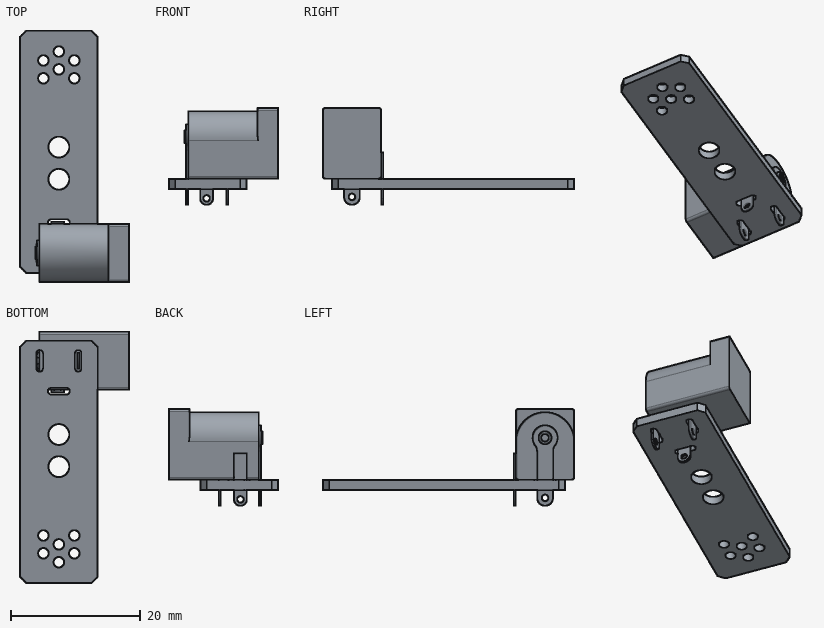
import cadquery as cq
import math

OVERALL_LENGTH = 38.85

BOARD_WIDTH = 12.0
BOARD_LENGTH = 37.45
BOARD_THICKNESS = 1.6
BOARD_CORNER_CHAMFER = 0.97

LARGE_HOLE_COUNT = 2
LARGE_HOLE_DIAMETER = 3.2
LARGE_HOLE_FIRST_Y = 14.5
LARGE_HOLE_SPACING = 4.97

SMALL_HOLE_DIAMETER = 1.6
SMALL_HOLE_PITCH = 2.75
SMALL_HOLE_CENTRE_Y = 31.45
SMALL_HOLE_ANGLES = [-30, 30, 90, 150, 210]

HOUSING_BACK_X = -3.03
HOUSING_LENGTH = 13.85
HOUSING_WIDTH = 9.0
HOUSING_HEIGHT = 10.95
FLANGE_LENGTH = 3.2
CORNER_RADIUS = 0.4
EDGE_RADIUS = 0.097

HOUSING_FRONT_X = HOUSING_BACK_X + HOUSING_LENGTH
HOUSING_NEAR_Y = BOARD_LENGTH - OVERALL_LENGTH
HOUSING_FAR_Y = HOUSING_NEAR_Y + HOUSING_WIDTH
HOUSING_CENTRE_Y = (HOUSING_NEAR_Y + HOUSING_FAR_Y) / 2
BARREL_RADIUS = HOUSING_WIDTH / 2
BARREL_AXIS_HEIGHT = 5.95

PIN_THICKNESS = 0.35
PIN_EDGE_RADIUS = 0.08
PIN_REACH = 2.45
PIN_HOLE_DIAMETER = 0.97
WIDE_PIN_WIDTH = 2.5
SIDE_PIN_WIDTH = 2.02
SIDE_PIN_X = -0.2
SIDE_PIN_HEIGHT = 4.08
INNER_PIN_X = 3.0
PIN_TIP_Z = -PIN_REACH
BACK_PIN_X = HOUSING_BACK_X - PIN_THICKNESS / 2
SIDE_PIN_Y = HOUSING_FAR_Y + PIN_THICKNESS / 2

HEAD_RADIUS = 1.95
HEAD_HEIGHT = 6.5
HEAD_BLEND_RADIUS = 1.35
RIVET_RADIUS = 1.0
RIVET_HEIGHT = 0.27
RIVET_EDGE_RADIUS = 0.2
RIVET_RECESS_RADIUS = 0.6

SLOT_LENGTH = 3.35
SLOT_WIDTH = 1.0
BACK_SLOT_X = -2.95
SIDE_SLOT_X = 0.0


def make_slot(x, y, angle):
    """Cutter for one pin slot, its length turned by angle from the X axis."""
    return (
        cq.Workplane("XY")
        .center(x, y)
        .slot2D(SLOT_LENGTH, SLOT_WIDTH, angle)
        .extrude(BOARD_THICKNESS)
    )


def make_board():
    board = (
        cq.Workplane("XY")
        .box(BOARD_WIDTH, BOARD_LENGTH, BOARD_THICKNESS, centered=(True, False, False))
        .edges("|Z")
        .chamfer(BOARD_CORNER_CHAMFER)
    )
    large_holes = [(0, LARGE_HOLE_FIRST_Y + i * LARGE_HOLE_SPACING) for i in range(LARGE_HOLE_COUNT)]
    small_holes = [(0, SMALL_HOLE_CENTRE_Y)]
    for angle in SMALL_HOLE_ANGLES:
        x = SMALL_HOLE_PITCH * math.cos(math.radians(angle))
        y = SMALL_HOLE_CENTRE_Y + SMALL_HOLE_PITCH * math.sin(math.radians(angle))
        small_holes.append((x, y))
    for diameter, places in [(LARGE_HOLE_DIAMETER, large_holes), (SMALL_HOLE_DIAMETER, small_holes)]:
        cutter = cq.Workplane("XY").pushPoints(places).circle(diameter / 2).extrude(BOARD_THICKNESS)
        board = board.cut(cutter)
    slots = [
        (BACK_SLOT_X, HOUSING_CENTRE_Y, 90),
        (SIDE_SLOT_X, SIDE_PIN_Y, 0),
        (INNER_PIN_X, HOUSING_CENTRE_Y, 90),
    ]
    for x, y, angle in slots:
        board = board.cut(make_slot(x, y, angle))
    return board


def make_barrel():
    """Flat-sided base with a half-round top, reaching forward into the flange."""
    barrel = (
        cq.Workplane("YZ", origin=(HOUSING_BACK_X, HOUSING_CENTRE_Y, BOARD_THICKNESS))
        .moveTo(-BARREL_RADIUS, 0)
        .lineTo(BARREL_RADIUS, 0)
        .lineTo(BARREL_RADIUS, BARREL_AXIS_HEIGHT)
        .threePointArc((0, BARREL_AXIS_HEIGHT + BARREL_RADIUS), (-BARREL_RADIUS, BARREL_AXIS_HEIGHT))
        .close()
        .extrude(HOUSING_LENGTH - FLANGE_LENGTH / 2)
    )
    barrel = barrel.edges("|X and <Z").fillet(CORNER_RADIUS)
    return barrel.faces("<X").edges().fillet(EDGE_RADIUS)


def make_flange():
    """Square mouth of the jack, taller than the barrel."""
    flange = (
        cq.Workplane("XY")
        .box(FLANGE_LENGTH, HOUSING_WIDTH, HOUSING_HEIGHT, centered=(False, True, False))
        .translate((HOUSING_FRONT_X - FLANGE_LENGTH, HOUSING_CENTRE_Y, BOARD_THICKNESS))
    )
    flange = flange.edges("|X").fillet(CORNER_RADIUS)
    return flange.faces("<X").edges().fillet(EDGE_RADIUS)


def make_pin(width, top_z):
    """Flat pin standing in the XZ plane at Y = 0, with a rounded, drilled tip."""
    eye_z = PIN_TIP_Z + width / 2
    pin = (
        cq.Workplane("XZ", origin=(0, PIN_THICKNESS / 2, 0))
        .moveTo(-width / 2, top_z)
        .lineTo(-width / 2, eye_z)
        .threePointArc((0, PIN_TIP_Z), (width / 2, eye_z))
        .lineTo(width / 2, top_z)
        .close()
        .extrude(PIN_THICKNESS)
    )
    eye = (
        cq.Workplane("XZ", origin=(0, PIN_THICKNESS / 2, 0))
        .center(0, eye_z)
        .circle(PIN_HOLE_DIAMETER / 2)
        .extrude(PIN_THICKNESS)
    )
    return pin.cut(eye)


def make_back_pin():
    """Pin lying on the housing's back, with a round head at its top."""
    head_z = BOARD_THICKNESS + HEAD_HEIGHT
    pin = make_pin(WIDE_PIN_WIDTH, head_z)
    head = (
        cq.Workplane("XZ", origin=(0, PIN_THICKNESS / 2, 0))
        .center(0, head_z)
        .circle(HEAD_RADIUS)
        .extrude(PIN_THICKNESS)
    )
    neck_z = head_z - math.sqrt(HEAD_RADIUS**2 - (WIDE_PIN_WIDTH / 2) ** 2)
    neck_edges = cq.selectors.BoxSelector(
        (-HEAD_RADIUS, -PIN_THICKNESS, neck_z - PIN_EDGE_RADIUS),
        (HEAD_RADIUS, PIN_THICKNESS, neck_z + PIN_EDGE_RADIUS),
    )
    pin = pin.union(head).edges("|Y").edges(neck_edges).fillet(HEAD_BLEND_RADIUS)
    pin = pin.faces(">Y").edges().fillet(PIN_EDGE_RADIUS)
    return pin.rotate((0, 0, 0), (0, 0, 1), 90).translate((BACK_PIN_X, HOUSING_CENTRE_Y, 0))


def make_side_pin():
    pin = make_pin(SIDE_PIN_WIDTH, BOARD_THICKNESS + SIDE_PIN_HEIGHT)
    pin = pin.faces(">Y").edges().fillet(PIN_EDGE_RADIUS)
    return pin.translate((SIDE_PIN_X, SIDE_PIN_Y, 0))


def make_inner_pin():
    """Pin coming out of the housing's underside."""
    pin = make_pin(WIDE_PIN_WIDTH, BOARD_THICKNESS + CORNER_RADIUS)
    pin = pin.faces("<Y or >Y").edges().fillet(PIN_EDGE_RADIUS)
    return pin.rotate((0, 0, 0), (0, 0, 1), 90).translate((INNER_PIN_X, HOUSING_CENTRE_Y, 0))


def make_rivet():
    """Round-edged rivet on the back pin's head, with a recess in its middle."""
    head_face = cq.Workplane(
        "YZ",
        origin=(HOUSING_BACK_X - PIN_THICKNESS, HOUSING_CENTRE_Y, BOARD_THICKNESS + HEAD_HEIGHT),
    )
    rivet = head_face.circle(RIVET_RADIUS).extrude(-RIVET_HEIGHT)
    rivet = rivet.faces("<X").edges().fillet(RIVET_EDGE_RADIUS)
    return rivet.cut(head_face.circle(RIVET_RECESS_RADIUS).extrude(-RIVET_HEIGHT))


def make_jack():
    jack = make_flange().union(make_barrel())
    for feature in [make_back_pin(), make_side_pin(), make_inner_pin(), make_rivet()]:
        jack = jack.union(feature)
    return jack


board = make_board()
jack = make_jack()

result = cq.Compound.makeCompound([board.val(), jack.val()])